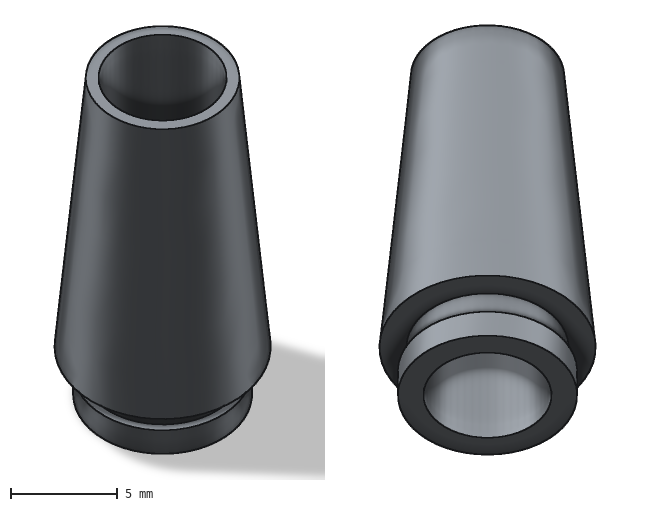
import cadquery as cq

total_height = 20
flange_height = 1.5
groove_height = 1.5
cone_base_z = flange_height + groove_height

flange_diameter = 8.4
groove_diameter = 7.6
cone_base_diameter = 10.15
cone_top_diameter = 7.2
bore_diameter = 6

profile = [
    (bore_diameter / 2, 0),
    (flange_diameter / 2, 0),
    (flange_diameter / 2, flange_height),
    (groove_diameter / 2, flange_height),
    (groove_diameter / 2, cone_base_z),
    (cone_base_diameter / 2, cone_base_z),
    (cone_top_diameter / 2, total_height),
    (bore_diameter / 2, total_height),
]

result = cq.Workplane("XZ").polyline(profile).close().revolve(360, (0, 0), (0, 1))